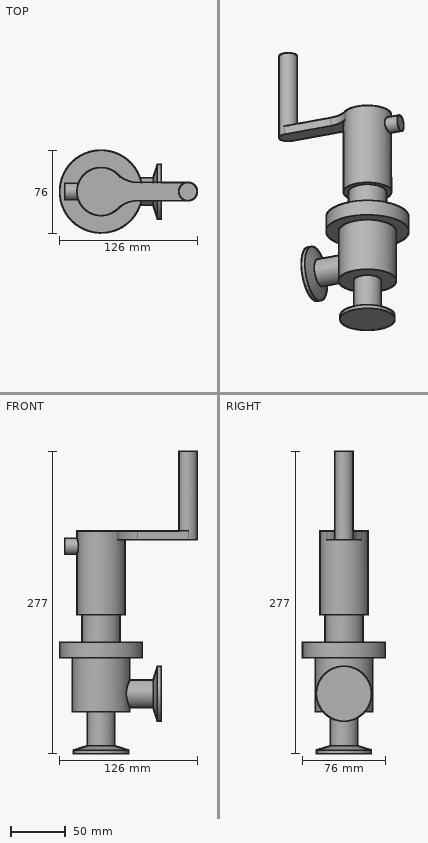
import cadquery as cq
import math

tube_diameter = 25.5
body_diameter = 53.0
flange_diameter = 76.0
neck_diameter = 35.0
cap_diameter = 44.0
body_bottom = 38.5
flange_bottom = 87.8
flange_top = 102.2
cap_bottom = 127.1
cap_top = 204.1

ferrule_diameter = 50.5
ferrule_rim = 3.5
ferrule_height = 7.5
side_port_reach = 55.0
side_port_height = 55.0

overall_height = 277.0
handle_diameter = 17.0
handle_reach = 88.0
arm_thickness = 8.3
arm_blend_radius = 25.0

pin_diameter = 15.0
pin_reach = 33.2
pin_height = 190.0

handle_radius = handle_diameter / 2
handle_x = handle_reach - handle_radius
arm_bottom = cap_top - arm_thickness


def cylinder(diameter, bottom, top):
    """Upright cylinder on the Z axis."""
    return cq.Workplane("XY").workplane(offset=bottom).circle(diameter / 2).extrude(top - bottom)


def ferruled_tube(length):
    """Tube along +Z from the origin, with a tapered ferrule at its lower end."""
    tube_radius = tube_diameter / 2
    ferrule_radius = ferrule_diameter / 2
    return (
        cq.Workplane("XZ")
        .lineTo(ferrule_radius, 0)
        .lineTo(ferrule_radius, ferrule_rim)
        .lineTo(tube_radius, ferrule_height)
        .lineTo(tube_radius, length)
        .lineTo(0, length)
        .close()
        .revolve(360, (0, 0, 0), (0, 1, 0))
    )


def side_port():
    """Ferruled tube leaving the body along +X."""
    return (
        ferruled_tube(side_port_reach)
        .rotate((0, 0, 0), (0, 1, 0), -90)
        .translate((side_port_reach, 0, side_port_height))
    )


def crank_arm():
    """Flat arm that flares into the cap through two tangent arcs and ends on the handle axis."""
    cap_radius = cap_diameter / 2
    blend_y = handle_radius + arm_blend_radius
    center_distance = cap_radius + arm_blend_radius
    blend_x = math.sqrt(center_distance**2 - blend_y**2)

    cap_x = blend_x * cap_radius / center_distance
    cap_y = blend_y * cap_radius / center_distance

    middle_angle = (math.atan2(-blend_y, -blend_x) - math.pi / 2) / 2
    middle_x = blend_x + arm_blend_radius * math.cos(middle_angle)
    middle_y = blend_y + arm_blend_radius * math.sin(middle_angle)

    return (
        cq.Workplane("XY")
        .workplane(offset=arm_bottom)
        .moveTo(cap_x, cap_y)
        .threePointArc((middle_x, middle_y), (blend_x, handle_radius))
        .lineTo(handle_x, handle_radius)
        .lineTo(handle_x, -handle_radius)
        .lineTo(blend_x, -handle_radius)
        .threePointArc((middle_x, -middle_y), (cap_x, -cap_y))
        .threePointArc((-cap_radius, 0), (cap_x, cap_y))
        .close()
        .extrude(arm_thickness)
    )


def handle():
    return cylinder(handle_diameter, arm_bottom, overall_height).translate((handle_x, 0, 0))


def stop_pin():
    """Pin leaving the cap along -X."""
    return (
        cq.Workplane("YZ")
        .center(0, pin_height)
        .circle(pin_diameter / 2)
        .extrude(-pin_reach)
    )


result = (
    ferruled_tube(body_bottom)
    .union(cylinder(body_diameter, body_bottom, flange_bottom))
    .union(cylinder(flange_diameter, flange_bottom, flange_top))
    .union(cylinder(neck_diameter, flange_top, cap_bottom))
    .union(cylinder(cap_diameter, cap_bottom, cap_top))
    .union(side_port())
    .union(crank_arm())
    .union(handle())
    .union(stop_pin())
)